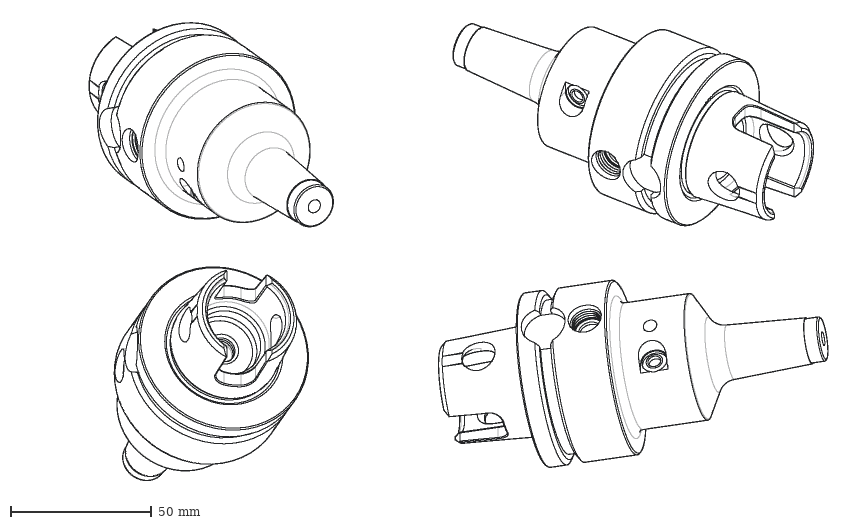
import cadquery as cq
import math


length = 137.0
flange_radius = 31.5

shank_end = 30.4
shank_tip_radius = 18.5
shank_end_radius = 20.1
shank_chamfer_length = 1.8
shank_face_radius = 17.0
relief_radius = 19.7

flange_start = 31.8
flange_end = 64.8
flange_edge = 0.5
recess_depth = 0.8
recess_mouth_radius = 21.9
recess_floor_radius = 21.1
groove_center = 41.8
groove_floor_radius = 27.8
groove_step_radius = 29.7
groove_floor_half_width = 2.0
groove_mouth_half_width = 3.3

body_radius = 22.9
body_fillet = 2.9
body_end = 91.4
body_edge = 0.4
body_edge_length = 0.3
shoulder_angle = math.radians(60)
neck_start_radius = 13.5
neck_end = 103.2
neck_end_radius = 9.9
nose_end = 131.8
nose_end_radius = 8.4
tip_radius = 16.0 / 2
tip_edge = 0.5

mouth_radius = 15.8
mouth_lip_radius = 15.3
mouth_lip_depth = 0.7
mouth_depth = 2.2
bore_radius = 14.5
bore_depth = 23.7
throat_radius = 13.8
throat_depth = 26.6
seat_radius = 24.4 / 2
seat_depth = 32.9
seat_floor_radius = 11.0
seat_bevel = seat_radius - seat_floor_radius
coolant_thread_major = 11.5
coolant_thread_minor = 9.2
coolant_thread_pitch = 1.4
coolant_thread_turns = 3
coolant_radius = 5.0 / 2

slot_half_width = 7.3
slot_depth = 20.3
slot_corner = 4.1
slot_mouth_bevel = 1.6
slot_mouth_bevel_length = mouth_depth
slot_edge_bevel = 0.4

cross_hole_x = 15.1
cross_hole_diameter = 12.5
ramp_angle = 40.0
ramp_start = 17.0
keyway_width = 4.7
keyway_floor = 18.4

gripper_hole_diameter = 16.0
gripper_hole_floor = 26.7
thread_x = 57.0
thread_minor = 11.0
thread_major = 12.0
thread_floor = 23.3
thread_start = 28.5
thread_pitch = 1.2
thread_turns = 4
pilot_diameter = 8.4
pilot_depth = 1.4

pocket_x = 78.9
pocket_z = -11.9
pocket_diameter = 10.0
pocket_floor = 16.0
screw_diameter = 9.2
screw_top_diameter = 6.0
screw_bevel_depth = 1.2
socket_diameter = 4.7
socket_depth = 1.6
vent_diameter = 5.0
vent_z = -1.0


def revolve_about_x(profile):
    return profile.close().revolve(360, (0, 0, 0), (1, 0, 0))


def side_cylinder(x, z, diameter, y_inner, y_outer):
    """Cylinder along Y on the -Y side, between two distances from the axis."""
    return (
        cq.Workplane("XZ", origin=(x, -y_inner, z))
        .circle(diameter / 2)
        .extrude(y_outer - y_inner)
    )


def side_cone(x, z, inner_diameter, outer_diameter, y_inner, y_outer):
    """Cone along Y on the -Y side, from its inner to its outer diameter."""
    solid = cq.Solid.makeCone(
        inner_diameter / 2,
        outer_diameter / 2,
        y_outer - y_inner,
        pnt=cq.Vector(x, -y_inner, z),
        dir=cq.Vector(0, -1, 0),
    )
    return cq.Workplane(obj=solid)


def opposite(shape):
    return shape.rotate((0, 0, 0), (1, 0, 0), 180)


def outer_body():
    shoulder_top_radius = body_radius - body_edge
    shoulder_start = body_end + body_edge_length
    shoulder_end = shoulder_start + (shoulder_top_radius - neck_start_radius) / math.tan(shoulder_angle)
    recess_floor = flange_start + recess_depth
    fillet_diagonal = body_fillet * (1 - math.sqrt(0.5))
    profile = (
        cq.Workplane("XY")
        .lineTo(0, shank_face_radius)
        .lineTo(shank_chamfer_length, shank_tip_radius)
        .lineTo(shank_end, shank_end_radius)
        .lineTo(shank_end + (shank_end_radius - relief_radius), relief_radius)
        .lineTo(recess_floor, relief_radius)
        .lineTo(recess_floor, recess_floor_radius)
        .lineTo(flange_start, recess_mouth_radius)
        .lineTo(flange_start, flange_radius - flange_edge)
        .lineTo(flange_start + flange_edge, flange_radius)
        .lineTo(groove_center - groove_mouth_half_width, flange_radius)
        .lineTo(groove_center - groove_floor_half_width, groove_step_radius)
        .lineTo(groove_center - groove_floor_half_width, groove_floor_radius)
        .lineTo(groove_center + groove_floor_half_width, groove_floor_radius)
        .lineTo(groove_center + groove_floor_half_width, groove_step_radius)
        .lineTo(groove_center + groove_mouth_half_width, flange_radius)
        .lineTo(flange_end - flange_edge, flange_radius)
        .lineTo(flange_end, flange_radius - flange_edge)
        .lineTo(flange_end, body_radius + body_fillet)
        .threePointArc(
            (flange_end + fillet_diagonal, body_radius + fillet_diagonal),
            (flange_end + body_fillet, body_radius),
        )
        .lineTo(body_end, body_radius)
        .lineTo(shoulder_start, shoulder_top_radius)
        .lineTo(shoulder_end, neck_start_radius)
        .tangentArcPoint((neck_end, neck_end_radius), relative=False)
        .lineTo(nose_end, nose_end_radius)
        .lineTo(nose_end, tip_radius)
        .lineTo(length - tip_edge, tip_radius)
        .lineTo(length, tip_radius - tip_edge)
        .lineTo(length, 0)
    )
    return revolve_about_x(profile)


def bore():
    """Stepped bore with a threaded coolant port in its floor and a hole through to the nose."""
    minor_radius = coolant_thread_minor / 2
    profile = (
        cq.Workplane("XY")
        .lineTo(0, mouth_radius)
        .lineTo(mouth_lip_depth, mouth_lip_radius)
        .lineTo(mouth_depth, bore_radius)
        .lineTo(bore_depth, bore_radius)
        .lineTo(throat_depth, throat_radius)
        .lineTo(throat_depth, seat_radius)
        .lineTo(seat_depth - seat_bevel, seat_radius)
        .lineTo(seat_depth, seat_floor_radius)
        .lineTo(seat_depth, coolant_thread_major / 2)
    )
    for turn in range(coolant_thread_turns):
        root = seat_depth + turn * coolant_thread_pitch
        profile = profile.lineTo(root + coolant_thread_pitch / 2, minor_radius)
        profile = profile.lineTo(root + coolant_thread_pitch, coolant_thread_major / 2)
    thread_end = seat_depth + (coolant_thread_turns + 0.5) * coolant_thread_pitch
    profile = (
        profile.lineTo(thread_end, minor_radius)
        .lineTo(thread_end + minor_radius - coolant_radius, coolant_radius)
        .lineTo(length, coolant_radius)
        .lineTo(length, 0)
    )
    return revolve_about_x(profile)


def drive_slots():
    return (
        cq.Workplane("XY", origin=(0, 0, -flange_radius))
        .moveTo(0, -slot_half_width - slot_mouth_bevel)
        .lineTo(slot_mouth_bevel_length, -slot_half_width)
        .lineTo(slot_depth, -slot_half_width)
        .lineTo(slot_depth, slot_half_width)
        .lineTo(slot_mouth_bevel_length, slot_half_width)
        .lineTo(0, slot_half_width + slot_mouth_bevel)
        .close()
        .extrude(2 * flange_radius)
        .edges("|Z and >X")
        .fillet(slot_corner)
    )


def cross_hole():
    return side_cylinder(cross_hole_x, 0, cross_hole_diameter, -flange_radius, flange_radius)


def cross_hole_ramp():
    """Copy of the cross hole tilted about its rim so that it opens into the bore nearer the mouth."""
    rim_x = cross_hole_x - cross_hole_diameter / 2
    tilted = side_cylinder(cross_hole_x, 0, cross_hole_diameter, 0, flange_radius).rotate(
        (rim_x, -ramp_start, 0), (rim_x, -ramp_start, 1), ramp_angle
    )
    mouth_side = cq.Workplane("XY").box(
        cross_hole_x, flange_radius, cross_hole_diameter, centered=(False, False, True)
    ).translate((0, -flange_radius, 0))
    return tilted.intersect(mouth_side)


def keyway():
    return cq.Workplane("XY").box(
        cross_hole_x, flange_radius - keyway_floor, keyway_width, centered=(False, False, True)
    ).translate((0, -flange_radius, 0))


def gripper_hole():
    return side_cylinder(groove_center, 0, gripper_hole_diameter, gripper_hole_floor, flange_radius)


def threaded_hole():
    """Tapped hole whose thread is a stack of V grooves, with a pilot recess in its floor."""
    hole = side_cylinder(thread_x, 0, thread_minor, thread_floor, flange_radius)
    hole = hole.union(
        side_cylinder(thread_x, 0, pilot_diameter, thread_floor - pilot_depth, thread_floor)
    )
    hole = hole.union(side_cylinder(thread_x, 0, thread_major, thread_start, flange_radius))
    for turn in range(thread_turns):
        outer_root = thread_start - turn * thread_pitch
        crest = outer_root - thread_pitch / 2
        inner_root = outer_root - thread_pitch
        hole = hole.union(side_cone(thread_x, 0, thread_minor, thread_major, crest, outer_root))
        hole = hole.union(side_cone(thread_x, 0, thread_major, thread_minor, inner_root, crest))
    return hole


def screw_pocket():
    """U-shaped pocket open towards -Z, with a bevelled socket screw set in its floor."""
    pocket = side_cylinder(pocket_x, pocket_z, pocket_diameter, pocket_floor, flange_radius)
    open_side = cq.Workplane("XY").box(
        pocket_diameter, flange_radius - pocket_floor, flange_radius, centered=(True, False, False)
    ).translate((pocket_x, -flange_radius, pocket_z - flange_radius))
    screw_base = pocket_floor - screw_bevel_depth
    screw_ring = side_cylinder(pocket_x, pocket_z, screw_diameter, screw_base, pocket_floor).cut(
        side_cone(pocket_x, pocket_z, screw_diameter, screw_top_diameter, screw_base, pocket_floor)
    )
    socket_floor = pocket_floor - socket_depth
    socket = side_cylinder(pocket_x, pocket_z, socket_diameter, socket_floor, pocket_floor)
    socket_tip = side_cone(
        pocket_x, pocket_z, 0, socket_diameter, socket_floor - socket_diameter / 2, socket_floor
    )
    return pocket.union(open_side).union(screw_ring).union(socket).union(socket_tip)


def vent_hole():
    return side_cylinder(pocket_x, vent_z, vent_diameter, 0, flange_radius)


def bevel_slot_edges(shank):
    """Bevel the edges where the slot walls meet the outside of the shank and its bore."""
    slot_region = cq.selectors.BoxSelector(
        (slot_mouth_bevel_length, -slot_half_width - slot_edge_bevel, -flange_radius),
        (slot_depth + slot_edge_bevel, slot_half_width + slot_edge_bevel, flange_radius),
    )
    corner_lines = cq.selectors.ParallelDirSelector(cq.Vector(0, 0, 1))
    return shank.edges(slot_region - corner_lines).chamfer(slot_edge_bevel)


result = bevel_slot_edges(outer_body().cut(bore()).cut(drive_slots()))
for feature in (keyway(), cross_hole_ramp(), gripper_hole(), threaded_hole(), screw_pocket()):
    result = result.cut(feature).cut(opposite(feature))
result = result.cut(cross_hole()).cut(vent_hole())